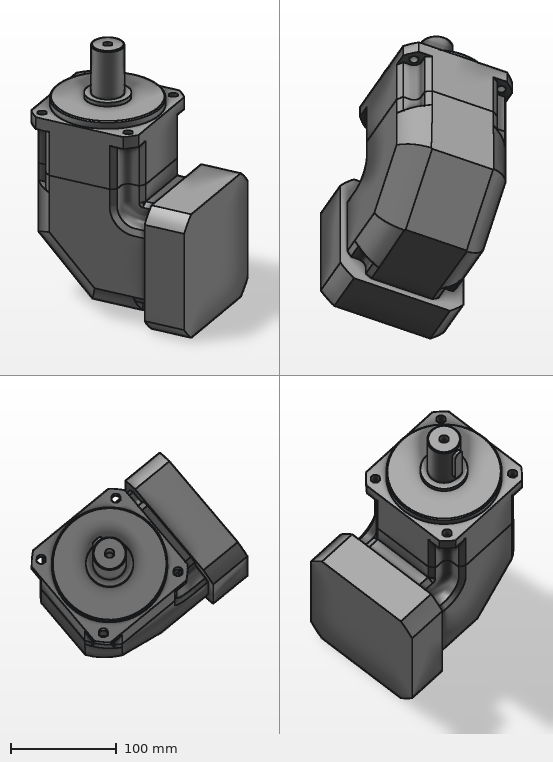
import cadquery as cq
import math


half_side = 57.5
round_radius = 66.0
notch_offset = 38.2
notch_fillet = 7.8
overshoot = 13.0

total_height = 261.5
adapter_side = 130.0
shaft_end_z = total_height - adapter_side / 2

collar_top_z = 145.7
pilot_top_z = 141.5
flange_top_z = 133.5
flange_bottom_z = 121.0
seam_z = 75.5

flange_round_radius = 74.0
bolt_offset = 46.0
bolt_hole_diameter = 9.0
pilot_diameter = 109.8
pilot_chamfer = 1.3
collar_diameter = 45.0
shaft_diameter = 32.0
shaft_chamfer = 1.0
center_hole_diameter = 9.0
center_hole_depth = 21.0
key_width = 10.0
key_length = 40.3
key_top_z = 191.7
key_crown_y = 19.0

adapter_round_radius = 82.5
adapter_start_x = 73.5
adapter_end_x = 115.8
wall_draft = 0.5
diagonal_face = 40.3
diagonal_edge = 11.5
diagonal_bulge = 1.8


flat_half = math.sqrt(round_radius**2 - half_side**2)
notch_lip = math.sqrt(round_radius**2 - notch_offset**2)

vertical_plane = cq.Plane(origin=(0, 0, 0), xDir=(1, 0, 0), normal=(0, 0, 1))
horizontal_plane = cq.Plane(origin=(0, 0, 0), xDir=(0, 0, 1), normal=(-1, 0, 0))
diagonal_plane = cq.Plane(origin=(0, 0, 0), xDir=(1, 0, 1), normal=(-1, 0, 1))
long_reach = 523.0


def notch_profile(plane, sign_x=1, sign_y=1, mouth_x=half_side + overshoot):
    """Corner notch section: flared mouth, straight walls and a filleted bottom.

    mouth_x is how far the section reaches along local x.
    """
    arc_center = notch_offset + notch_fillet
    arc_middle = arc_center - notch_fillet / math.sqrt(2)
    mouth_y = half_side + overshoot

    def at(x, y):
        return (sign_x * x, sign_y * y)

    profile = (
        cq.Workplane(plane)
        .moveTo(*at(flat_half, mouth_y))
        .lineTo(*at(flat_half, half_side))
        .lineTo(*at(notch_offset, notch_lip))
        .lineTo(*at(notch_offset, arc_center))
        .threePointArc(at(arc_middle, arc_middle), at(arc_center, notch_offset))
        .lineTo(*at(notch_lip, notch_offset))
        .lineTo(*at(half_side, flat_half))
    )
    if mouth_x > half_side:
        profile = profile.lineTo(*at(mouth_x, flat_half))
    return profile.lineTo(*at(mouth_x, mouth_y)).close()


def inner_bend_notch(sign_y):
    """Notch around the inside of the bend: down from the seam, a quarter turn, then out along X."""
    turn_plane = cq.Plane(origin=(0, 0, half_side), xDir=(1, 0, 0), normal=(0, 0, 1))
    arm_plane = cq.Plane(origin=(adapter_start_x, 0, 0), xDir=(0, 0, 1), normal=(-1, 0, 0))
    down = notch_profile(turn_plane, 1, sign_y).extrude(seam_z - half_side)
    out = notch_profile(arm_plane, 1, sign_y).extrude(adapter_start_x - half_side)
    turn = notch_profile(turn_plane, 1, sign_y, mouth_x=half_side).revolve(
        90, (half_side, 0, 0), (half_side, -1, 0)
    )
    return down.union(turn).union(out)


def rounded_prism(plane, face, edge, arc_middle):
    """Prism through the whole part whose outer face at -face has both long edges rounded.

    The rounding runs from local (-face, flat_half) to (-edge, half_side).
    """
    middle_x, middle_y = arc_middle
    return (
        cq.Workplane(plane)
        .moveTo(long_reach, -half_side)
        .lineTo(long_reach, half_side)
        .lineTo(-edge, half_side)
        .threePointArc((-middle_x, middle_y), (-face, flat_half))
        .lineTo(-face, -flat_half)
        .threePointArc((-middle_x, -middle_y), (-edge, -half_side))
        .close()
        .extrude(long_reach, both=True)
    )


def make_gearbox():
    """Output half: square housing, mounting flange, pilot, collar and keyed shaft."""
    housing = (
        cq.Workplane("XY", origin=(0, 0, seam_z))
        .rect(2 * half_side, 2 * half_side)
        .extrude(flange_bottom_z - seam_z)
    )
    notch_plane = cq.Plane(origin=(0, 0, seam_z), xDir=(1, 0, 0), normal=(0, 0, 1))
    for sign_x in (-1, 1):
        for sign_y in (-1, 1):
            notch = notch_profile(notch_plane, sign_x, sign_y).extrude(flange_bottom_z - seam_z)
            housing = housing.cut(notch)

    flange_height = flange_top_z - flange_bottom_z
    flange_base = cq.Workplane("XY", origin=(0, 0, flange_bottom_z))
    flange = (
        flange_base.rect(2 * half_side, 2 * half_side)
        .extrude(flange_height)
        .intersect(flange_base.circle(flange_round_radius).extrude(flange_height))
    )
    bolt_holes = (
        flange_base.rect(2 * bolt_offset, 2 * bolt_offset, forConstruction=True)
        .vertices()
        .circle(bolt_hole_diameter / 2)
        .extrude(flange_height)
    )
    flange = flange.cut(bolt_holes)

    pilot = (
        cq.Workplane("XY", origin=(0, 0, flange_top_z))
        .circle(pilot_diameter / 2)
        .extrude(pilot_top_z - flange_top_z)
        .faces(">Z")
        .chamfer(pilot_chamfer)
    )
    collar = (
        cq.Workplane("XY", origin=(0, 0, pilot_top_z))
        .circle(collar_diameter / 2)
        .extrude(collar_top_z - pilot_top_z)
    )
    return housing.union(flange).union(pilot).union(collar).union(make_shaft())


def make_shaft():
    """Output shaft with a center hole and a round-ended key on its +Y side."""
    shaft = (
        cq.Workplane("XY", origin=(0, 0, collar_top_z))
        .circle(shaft_diameter / 2)
        .extrude(shaft_end_z - collar_top_z)
        .faces(">Z")
        .chamfer(shaft_chamfer)
    )
    key = (
        cq.Workplane("XZ", origin=(0, 0, key_top_z - key_length / 2))
        .slot2D(key_length, key_width, 90)
        .extrude(-key_crown_y)
    )
    center_hole = (
        cq.Workplane("XY", origin=(0, 0, shaft_end_z))
        .circle(center_hole_diameter / 2)
        .extrude(-center_hole_depth)
    )
    return shaft.union(key).cut(center_hole)


def make_elbow():
    """Input half: mitred elbow with rounded outer edges, notched corners and motor adapter."""
    drafted = half_side - wall_draft
    diagonal_end = diagonal_face * math.sqrt(2) - drafted
    elbow = (
        cq.Workplane("XZ")
        .polyline(
            [
                (-half_side, seam_z),
                (half_side, seam_z),
                (half_side, half_side),
                (adapter_start_x, half_side),
                (adapter_start_x, -half_side),
                (half_side, -half_side),
                (-diagonal_end, -drafted),
                (-drafted, -diagonal_end),
                (-half_side, half_side),
            ]
        )
        .close()
        .extrude(half_side, both=True)
    )

    arm_middle = (round_radius / math.sqrt(2), round_radius / math.sqrt(2))
    chord_x = diagonal_face - diagonal_edge
    chord_y = half_side - flat_half
    chord = math.hypot(chord_x, chord_y)
    diagonal_middle = (
        (diagonal_face + diagonal_edge) / 2 + diagonal_bulge * chord_y / chord,
        (half_side + flat_half) / 2 + diagonal_bulge * chord_x / chord,
    )
    elbow = elbow.intersect(rounded_prism(vertical_plane, half_side, flat_half, arm_middle))
    elbow = elbow.intersect(rounded_prism(horizontal_plane, half_side, flat_half, arm_middle))
    elbow = elbow.intersect(
        rounded_prism(diagonal_plane, diagonal_face, diagonal_edge, diagonal_middle)
    )

    top_plane = cq.Plane(origin=(0, 0, half_side), xDir=(1, 0, 0), normal=(0, 0, 1))
    arm_plane = cq.Plane(origin=(adapter_start_x, 0, 0), xDir=(0, 0, 1), normal=(-1, 0, 0))
    for sign_y in (-1, 1):
        elbow = elbow.cut(notch_profile(top_plane, -1, sign_y).extrude(seam_z - half_side))
        elbow = elbow.cut(notch_profile(arm_plane, -1, sign_y).extrude(adapter_start_x - half_side))
        elbow = elbow.cut(inner_bend_notch(sign_y))

    adapter_length = adapter_end_x - adapter_start_x
    adapter_base = cq.Workplane("YZ", origin=(adapter_start_x, 0, 0))
    adapter = (
        adapter_base.rect(adapter_side, adapter_side)
        .extrude(adapter_length)
        .intersect(adapter_base.circle(adapter_round_radius).extrude(adapter_length))
    )
    return elbow.union(adapter)


gearbox = make_gearbox()
elbow = make_elbow()
result = cq.Compound.makeCompound([gearbox.val(), elbow.val()])